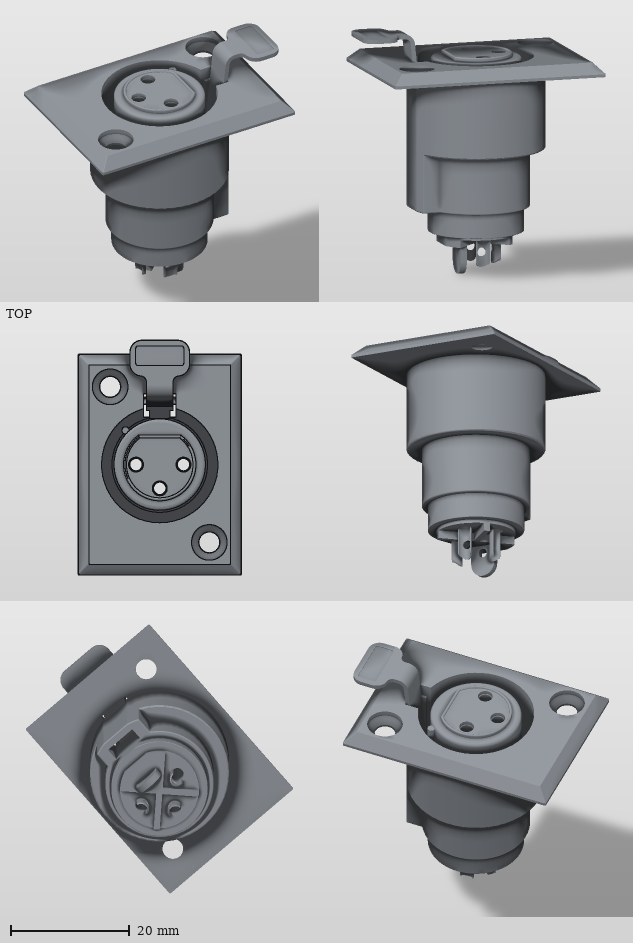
import cadquery as cq
import math


ORIGIN = (0, 0, 0)
Z_DIRECTION = (0, 0, 1)
FULL_TURN = 360

PLATE_WIDTH = 27.5
PLATE_LENGTH = 37.2
PLATE_LIP = 0.5
PLATE_BEVEL = 1.8
BEVEL_ANGLE = 45
PLATE_TOP = PLATE_LIP + PLATE_BEVEL
PLATE_CORNER_RADIUS = 0.25

SCREW_X = 8.35
SCREW_Y = 13.1
SCREW_DIAMETER = 3.5
SCREW_HEAD_DIAMETER = 6.0
SCREW_HEAD_DEPTH = 0.95
SCREW_CONE_DEPTH = 0.95

BARREL_RADIUS = 11.7
BARREL_BOTTOM = -13.45
MIDDLE_RADIUS = 9.13
MIDDLE_BOTTOM = -23.4
TAIL_RADIUS = 8.13
TAIL_BOTTOM = -27.6
STEP_EDGE_RADIUS = 0.25
TAIL_EDGE_RADIUS = 0.1
BACK_FLAT_Y = 11.4
LATCH_BOX_WIDTH = 9.3

CAVITY_RADIUS = 9.8
CAVITY_FLOOR = -12.0
SLOT_WIDTH = 5.4
SLOT_FRONT_Y = 8.0
SLOT_BACK_Y = 10.13
PLATE_SLOT_BACK_Y = 11.9

INSERT_TAIL_RADIUS = 6.65
INSERT_TAIL_BOTTOM = -28.2
INSERT_BACK_FLAT_Y = 6.2
RING_RADIUS = 7.7
RING_EDGE_RADIUS = 0.6
COLLAR_RADIUS = 8.05
COLLAR_HEIGHT = 0.3
KEY_RADIUS = 0.62
KEY_DISTANCE = 8.13
KEY_ANGLE = 135
KEY_TOP = 1.8

CORE_RADIUS = 6.1
CORE_FLAT_Y = 4.95
CORE_TOP = 2.75
BEAD_WIDTH = 0.5
BEAD_HEIGHT = BEAD_WIDTH / 2
BEAD_ROUND = 0.24

CONTACT_DISTANCE = 4.0
CONTACT_ANGLES = (0, 180, 270)
CONTACT_BORE = 2.1
CONTACT_OUTER = 2.5
CONTACT_RECESS = 0.65
CUP_BOTTOM = -33.4
WIRE_HOLE_DIAMETER = 1.5
WIRE_HOLE_Z = -30.85

SPIDER_BOTTOM = -29.55
SPIDER_ARM_WIDTH = 1.02

GROUND_TAB_WIDTH = 4.4
GROUND_TAB_THICKNESS = 1.1
GROUND_TAB_Y = 2.87
GROUND_TAB_BOTTOM = -34.85

LATCH_TOP = 7.0
LATCH_THICKNESS = 0.75
LEG_WIDTH = 4.5
LEG_TILT = math.radians(6)
LEG_FACE_Y = 11.18
LEG_BOTTOM = -11.7
BEND_RADIUS = 1.8
BEND_INNER_RADIUS = BEND_RADIUS - LATCH_THICKNESS
PAD_WIDTH = 10.05
PAD_BACK_Y = 20.95
PAD_FRONT_Y = 14.92
PAD_CORNER_RADIUS = 2.0
PAD_NECK_RADIUS = 1.0
FRAME_WIDTH = 8.1
FRAME_LENGTH = 3.3
FRAME_Y = 18.33
FRAME_DEPTH = 0.1
FRAME_CORNER_RADIUS = 0.4
FOOT_TOP = -10.8
FOOT_FRONT_Y = 9.1
NOSE_WIDTH = 3.5
NOSE_FRONT_Y = 7.8


def block(x_size, y_min, y_max, z_min, z_max):
    """Box centred on X, with its limits given in Y and Z."""
    return (
        cq.Workplane("XY", origin=(0, 0, z_min))
        .center(0, (y_min + y_max) / 2)
        .rect(x_size, y_max - y_min)
        .extrude(z_max - z_min)
    )


def cylinder(radius, z_min, z_max, x=0, y=0):
    return cq.Workplane("XY", origin=(x, y, z_min)).circle(radius).extrude(z_max - z_min)


def leg_face_y(z):
    """Y of the leg's front face at height z."""
    return LEG_FACE_Y + (z - PLATE_TOP) * math.tan(LEG_TILT)


LEG_DEPTH = LATCH_THICKNESS / math.cos(LEG_TILT)
BEND_Z = LATCH_TOP - BEND_RADIUS
BEND_Y = leg_face_y(BEND_Z) + BEND_RADIUS / math.cos(LEG_TILT)


def bend_point(radius, angle):
    """Point on the bend; angle 0 is straight up, turning toward the leg."""
    return (BEND_Y - radius * math.sin(angle), BEND_Z + radius * math.cos(angle))


def leg_section():
    """Side outline (Y, Z) of the pad, the bend and the tilted leg."""
    turn = math.pi / 2 - LEG_TILT
    return (
        cq.Workplane("YZ")
        .moveTo(PAD_FRONT_Y, LATCH_TOP)
        .lineTo(*bend_point(BEND_RADIUS, 0))
        .threePointArc(bend_point(BEND_RADIUS, turn / 2), bend_point(BEND_RADIUS, turn))
        .lineTo(leg_face_y(LEG_BOTTOM), LEG_BOTTOM)
        .lineTo(leg_face_y(LEG_BOTTOM) + LEG_DEPTH, LEG_BOTTOM)
        .lineTo(*bend_point(BEND_INNER_RADIUS, turn))
        .threePointArc(bend_point(BEND_INNER_RADIUS, turn / 2), bend_point(BEND_INNER_RADIUS, 0))
        .lineTo(PAD_FRONT_Y, LATCH_TOP - LATCH_THICKNESS)
        .close()
    )


def latch_strip():
    """Bent strip from the pad down to the foot."""
    return leg_section().extrude(LEG_WIDTH / 2, both=True)


def make_pad():
    """Rounded thumb pad with a shallow recess, joined to the leg by a neck with concave corners."""
    pad_bottom = LATCH_TOP - LATCH_THICKNESS
    pad = block(PAD_WIDTH, PAD_FRONT_Y, PAD_BACK_Y, pad_bottom, LATCH_TOP)
    pad = pad.edges("|Z").fillet(PAD_CORNER_RADIUS)
    neck_front = PAD_FRONT_Y - PAD_NECK_RADIUS
    neck_width = LEG_WIDTH + 2 * PAD_NECK_RADIUS
    neck = block(neck_width, neck_front, PAD_FRONT_Y + PAD_CORNER_RADIUS, pad_bottom, LATCH_TOP)
    for side in (-1, 1):
        neck = neck.cut(
            cylinder(PAD_NECK_RADIUS, pad_bottom, LATCH_TOP, side * neck_width / 2, neck_front)
        )
    frame = block(
        FRAME_WIDTH,
        FRAME_Y - FRAME_LENGTH / 2,
        FRAME_Y + FRAME_LENGTH / 2,
        LATCH_TOP - FRAME_DEPTH,
        LATCH_TOP,
    )
    frame = frame.edges("|Z").fillet(FRAME_CORNER_RADIUS)
    return pad.union(neck).cut(frame)


def make_latch():
    """Bent strip with a pad at its top and a foot with a narrower nose at its bottom."""
    foot = block(LEG_WIDTH, FOOT_FRONT_Y, leg_face_y(LEG_BOTTOM) + LEG_DEPTH, LEG_BOTTOM, FOOT_TOP)
    nose = block(NOSE_WIDTH, NOSE_FRONT_Y, FOOT_FRONT_Y, LEG_BOTTOM, FOOT_TOP)
    return latch_strip().union(make_pad()).union(foot).union(nose)


def make_plate():
    """Rectangular plate with a 45 degree bevel all round its top."""
    lip = cq.Workplane("XY").rect(PLATE_WIDTH, PLATE_LENGTH).extrude(PLATE_LIP)
    bevel = (
        cq.Workplane("XY", origin=(0, 0, PLATE_LIP))
        .rect(PLATE_WIDTH, PLATE_LENGTH)
        .extrude(PLATE_BEVEL, taper=BEVEL_ANGLE)
    )
    plate = lip.union(bevel)
    return plate.edges("not(#Z)").fillet(PLATE_CORNER_RADIUS)


def make_barrel():
    """Three round steps, edges rounded, with a flat-backed box for the latch along the middle one."""
    top_step = cylinder(BARREL_RADIUS, BARREL_BOTTOM, 0)
    middle_step = cylinder(MIDDLE_RADIUS, MIDDLE_BOTTOM, 0)
    tail_step = cylinder(TAIL_RADIUS, TAIL_BOTTOM, 0)
    top_step = top_step.edges().fillet(STEP_EDGE_RADIUS)
    tail_step = tail_step.faces("<Z").edges().fillet(TAIL_EDGE_RADIUS)
    box_top = BARREL_BOTTOM / 2
    latch_box = cylinder(BARREL_RADIUS, MIDDLE_BOTTOM, box_top).intersect(
        block(LATCH_BOX_WIDTH, 0, BACK_FLAT_Y, MIDDLE_BOTTOM, box_top)
    )
    box_sides = cq.selectors.BoxSelector(
        (-BARREL_RADIUS, MIDDLE_RADIUS / 2, MIDDLE_BOTTOM),
        (BARREL_RADIUS, BACK_FLAT_Y - STEP_EDGE_RADIUS, 0),
    )
    middle_step = middle_step.union(latch_box)
    middle_step = middle_step.edges("|Z").edges(box_sides).fillet(STEP_EDGE_RADIUS)
    middle_step = middle_step.faces("<Z").edges().fillet(STEP_EDGE_RADIUS)
    behind_flat = block(2 * BARREL_RADIUS, BACK_FLAT_Y, 2 * BACK_FLAT_Y, MIDDLE_BOTTOM, 0)
    return top_step.cut(behind_flat).union(middle_step).union(tail_step)


def screw_hole(x, y):
    """Countersunk hole whose head recess starts with a short straight wall."""
    cone_top = PLATE_TOP - SCREW_HEAD_DEPTH
    return (
        cq.Workplane("XZ")
        .lineTo(SCREW_DIAMETER / 2, 0)
        .lineTo(SCREW_DIAMETER / 2, cone_top - SCREW_CONE_DEPTH)
        .lineTo(SCREW_HEAD_DIAMETER / 2, cone_top)
        .lineTo(SCREW_HEAD_DIAMETER / 2, PLATE_TOP)
        .lineTo(0, PLATE_TOP)
        .close()
        .revolve(FULL_TURN, ORIGIN, (0, 1, 0))
        .translate((x, y, 0))
    )


def leg_passage():
    """Opening in the back wall whose rear face bears on the tilted leg."""
    return (
        cq.Workplane("YZ")
        .polyline([
            (SLOT_FRONT_Y, LEG_BOTTOM),
            (leg_face_y(LEG_BOTTOM) + LEG_DEPTH, LEG_BOTTOM),
            (leg_face_y(PLATE_TOP) + LEG_DEPTH, PLATE_TOP),
            (SLOT_FRONT_Y, PLATE_TOP),
        ])
        .close()
        .extrude(LEG_WIDTH / 2, both=True)
    )


def make_housing():
    housing = make_plate().union(make_barrel())
    for side in (-1, 1):
        housing = housing.cut(screw_hole(side * SCREW_X, -side * SCREW_Y))
    housing = housing.cut(cylinder(CAVITY_RADIUS, CAVITY_FLOOR, PLATE_TOP))
    housing = housing.cut(cylinder(INSERT_TAIL_RADIUS, TAIL_BOTTOM, PLATE_TOP))
    housing = housing.cut(block(SLOT_WIDTH, SLOT_FRONT_Y, SLOT_BACK_Y, TAIL_BOTTOM, PLATE_TOP))
    housing = housing.cut(block(SLOT_WIDTH, SLOT_FRONT_Y, PLATE_SLOT_BACK_Y, 0, PLATE_TOP))
    return housing.cut(leg_passage())


def core_outline(inset):
    """Round core outline with a flat at its back, moved inward by the inset."""
    radius = CORE_RADIUS - inset
    flat_y = CORE_FLAT_Y - inset
    half_flat = math.sqrt(radius**2 - flat_y**2)
    return (
        cq.Workplane("XY")
        .moveTo(-half_flat, flat_y)
        .threePointArc((0, -radius), (half_flat, flat_y))
        .close()
    )


def make_core():
    """Contact-carrying face with a half-round bead along its rim."""
    core = core_outline(0).extrude(CORE_TOP)
    bead = core_outline(0).extrude(BEAD_HEIGHT).cut(core_outline(BEAD_WIDTH).extrude(BEAD_HEIGHT))
    bead = bead.faces(">Z").edges().fillet(BEAD_ROUND)
    return core.union(bead.translate((0, 0, CORE_TOP)))


def make_ring():
    """Rounded ring around the core, with a locating key and a collar on the cavity floor."""
    ring = cylinder(RING_RADIUS, CAVITY_FLOOR, PLATE_TOP).faces(">Z").edges().fillet(RING_EDGE_RADIUS)
    collar = cylinder(COLLAR_RADIUS, CAVITY_FLOOR, CAVITY_FLOOR + COLLAR_HEIGHT)
    angle = math.radians(KEY_ANGLE)
    key = cylinder(
        KEY_RADIUS,
        CAVITY_FLOOR,
        KEY_TOP,
        KEY_DISTANCE * math.cos(angle),
        KEY_DISTANCE * math.sin(angle),
    )
    return ring.union(collar).union(key)


def make_spider():
    """Four diagonal arms left between V notches, one notch for each solder cup."""
    spider = cylinder(INSERT_TAIL_RADIUS, SPIDER_BOTTOM, INSERT_TAIL_BOTTOM)
    vertex = SPIDER_ARM_WIDTH / math.sqrt(2)
    reach = 2 * INSERT_TAIL_RADIUS
    notch = (
        cq.Workplane("XY", origin=(0, 0, SPIDER_BOTTOM))
        .polyline([(vertex, 0), (vertex + reach, reach), (vertex + reach, -reach)])
        .close()
        .extrude(INSERT_TAIL_BOTTOM - SPIDER_BOTTOM)
    )
    for angle in CONTACT_ANGLES:
        spider = spider.cut(notch.rotate(ORIGIN, Z_DIRECTION, angle))
    return spider


def solder_cup():
    """Half tube open outward, at the contact on +X, with a rounded tip and a wire hole."""
    radius = CONTACT_OUTER / 2
    tip_z = CUP_BOTTOM + radius
    half_tube = cylinder(radius, CUP_BOTTOM, INSERT_TAIL_BOTTOM, CONTACT_DISTANCE).cut(
        cylinder(CONTACT_BORE / 2, CUP_BOTTOM, INSERT_TAIL_BOTTOM, CONTACT_DISTANCE)
    )
    tongue = (
        cq.Workplane("YZ")
        .moveTo(-radius, INSERT_TAIL_BOTTOM)
        .lineTo(-radius, tip_z)
        .threePointArc((0, CUP_BOTTOM), (radius, tip_z))
        .lineTo(radius, INSERT_TAIL_BOTTOM)
        .close()
        .extrude(CONTACT_DISTANCE)
    )
    wire_hole = (
        cq.Workplane("YZ")
        .center(0, WIRE_HOLE_Z)
        .circle(WIRE_HOLE_DIAMETER / 2)
        .extrude(CONTACT_DISTANCE)
    )
    return half_tube.intersect(tongue).cut(wire_hole)


def contact_bore():
    """Through bore of the contact on +X, widened at the core's face."""
    bore = cylinder(CONTACT_BORE / 2, INSERT_TAIL_BOTTOM, CORE_TOP, CONTACT_DISTANCE)
    mouth = cylinder(CONTACT_OUTER / 2, CORE_TOP - CONTACT_RECESS, CORE_TOP, CONTACT_DISTANCE)
    return bore.union(mouth)


def make_ground_tab():
    """Flat solder tag with a full-round end, hanging behind the cups."""
    half_width = GROUND_TAB_WIDTH / 2
    end_z = GROUND_TAB_BOTTOM + half_width
    return (
        cq.Workplane("XZ", origin=(0, GROUND_TAB_Y + GROUND_TAB_THICKNESS / 2, 0))
        .moveTo(-half_width, INSERT_TAIL_BOTTOM)
        .lineTo(-half_width, end_z)
        .threePointArc((0, GROUND_TAB_BOTTOM), (half_width, end_z))
        .lineTo(half_width, INSERT_TAIL_BOTTOM)
        .close()
        .moveTo(0, WIRE_HOLE_Z)
        .circle(WIRE_HOLE_DIAMETER / 2)
        .extrude(GROUND_TAB_THICKNESS)
    )


def make_insert():
    tail = cylinder(INSERT_TAIL_RADIUS, INSERT_TAIL_BOTTOM, CAVITY_FLOOR)
    insert = make_core().union(make_ring()).union(tail).union(make_spider())
    beyond_flat = block(
        2 * INSERT_TAIL_RADIUS,
        INSERT_BACK_FLAT_Y,
        2 * INSERT_BACK_FLAT_Y,
        SPIDER_BOTTOM,
        TAIL_BOTTOM,
    )
    insert = insert.cut(beyond_flat).union(make_ground_tab())
    for angle in CONTACT_ANGLES:
        insert = insert.union(solder_cup().rotate(ORIGIN, Z_DIRECTION, angle))
        insert = insert.cut(contact_bore().rotate(ORIGIN, Z_DIRECTION, angle))
    return insert


housing = make_housing()
insert = make_insert()
latch = make_latch()

result = cq.Compound.makeCompound([housing.val(), insert.val(), latch.val()])